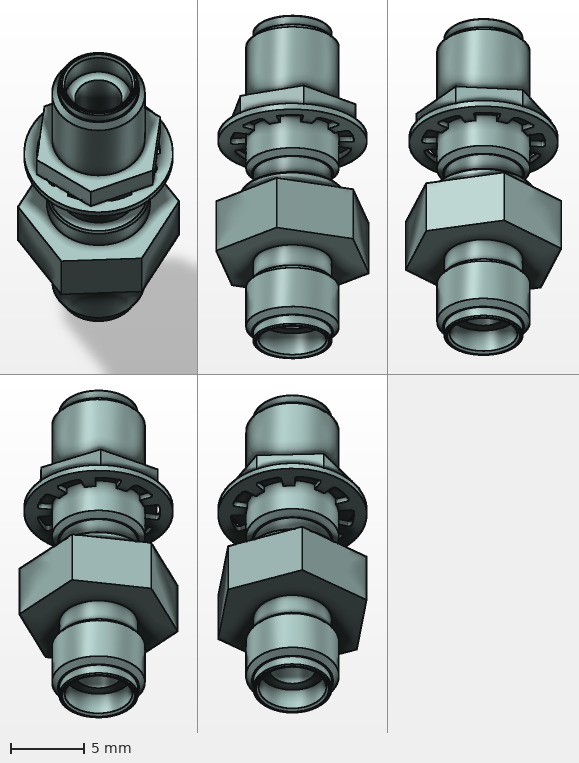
import cadquery as cq
import math

length = 23.5
neck_radius = 2.68
thread_radius = 3.17
thread_chamfer = 0.4
tip_length = 0.75
tip_chamfer = 0.1

bore_radius = 1.6
socket_radius = 2.3
socket_depth = 1.76
socket_chamfer = 0.16

lower_thread_top = 4.5
upper_thread_bottom = 12.78

large_hex_bottom = 6.06
large_hex_height = 3.75
large_hex_corner_radius = 5.5
large_hex_angle = -16.4
collar_radius = 3.52
collar_top = 11.25
collar_chamfer = 0.15

washer_bottom = 15.18
washer_thickness = 0.45
washer_radius = 5.08
gap_outer_radius = 4.2
gap_count = 9
gap_angle = 26.0
first_gap_angle = 92.5
gap_corner_radius = 0.24
nut_height = 1.62
nut_flats = 7.97
nut_angle = 4.5


def cylinder(radius, bottom, top):
    return cq.Workplane("XY").workplane(offset=bottom).circle(radius).extrude(top - bottom)


def hexagon(corner_radius, bottom, height, angle):
    """Hexagonal prism with one corner at the given angle from +X."""
    prism = cq.Workplane("XY").workplane(offset=bottom).polygon(6, 2 * corner_radius).extrude(height)
    return prism.rotate((0, 0, 0), (0, 0, 1), angle)


def threaded_barrel(bottom, top):
    """Plain barrel at the thread diameter, chamfered at both ends."""
    return cylinder(thread_radius, bottom, top).faces("<Z or >Z").chamfer(thread_chamfer)


def polar_point(radius, angle):
    return (radius * math.cos(math.radians(angle)), radius * math.sin(math.radians(angle)))


def washer_gap(center_angle):
    """Space between two inner teeth, with rounded outer corners.

    It starts inside the barrel, so that the barrel fills its inner end.
    """
    start = center_angle - gap_angle / 2
    end = center_angle + gap_angle / 2
    mid_height = washer_bottom + washer_thickness / 2
    gap = (
        cq.Workplane("XY")
        .workplane(offset=washer_bottom)
        .moveTo(*polar_point(neck_radius, start))
        .lineTo(*polar_point(gap_outer_radius, start))
        .threePointArc(polar_point(gap_outer_radius, center_angle), polar_point(gap_outer_radius, end))
        .lineTo(*polar_point(neck_radius, end))
        .threePointArc(polar_point(neck_radius, center_angle), polar_point(neck_radius, start))
        .close()
        .extrude(washer_thickness)
    )
    corner_edges = [
        cq.selectors.NearestToPointSelector((*polar_point(gap_outer_radius, angle), mid_height))
        for angle in (start, end)
    ]
    return gap.edges(corner_edges[0] + corner_edges[1]).fillet(gap_corner_radius)


def toothed_washer():
    washer = cylinder(washer_radius, washer_bottom, washer_bottom + washer_thickness)
    for index in range(gap_count):
        washer = washer.cut(washer_gap(first_gap_angle + index * 360 / gap_count))
    return washer


def end_socket():
    """Cutter for the chamfered socket in the lower end."""
    mouth = (
        cq.Workplane("XY")
        .circle(socket_radius + socket_chamfer)
        .workplane(offset=socket_chamfer)
        .circle(socket_radius)
        .loft()
    )
    return cylinder(socket_radius, 0, socket_depth).union(mouth)


core = cylinder(neck_radius, 0, length).faces("<Z or >Z").chamfer(tip_chamfer)
lower_barrel = threaded_barrel(tip_length, lower_thread_top)
upper_barrel = threaded_barrel(upper_thread_bottom, length - tip_length)

large_hex_top = large_hex_bottom + large_hex_height
large_hex = hexagon(large_hex_corner_radius, large_hex_bottom, large_hex_height, large_hex_angle)
collar = cylinder(collar_radius, large_hex_top, collar_top).faces(">Z").chamfer(collar_chamfer)

nut_bottom = washer_bottom + washer_thickness
nut = hexagon(nut_flats / math.sqrt(3), nut_bottom, nut_height, nut_angle)

result = core.union(lower_barrel).union(upper_barrel).union(large_hex).union(collar)
result = result.union(toothed_washer()).union(nut)

lower_socket = end_socket()
upper_socket = lower_socket.mirror("XY", (0, 0, length / 2))
result = result.cut(cylinder(bore_radius, 0, length)).cut(lower_socket).cut(upper_socket)